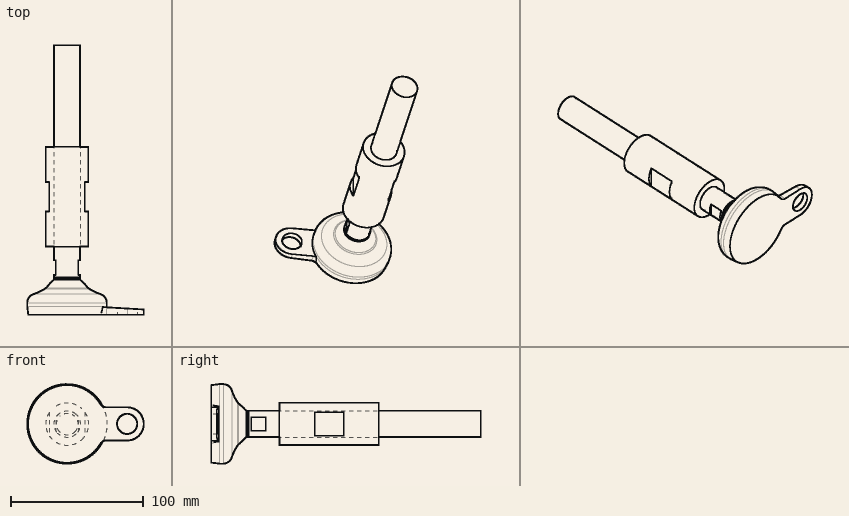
import cadquery as cq
import math

total_length = 203.0

rod_radius = 10.0
rod_start = 28.2
neck_radius = 8.1
rod_flat_offset = 8.5
rod_flat_start = 30.0
rod_flat_length = 11.0

sleeve_radius = 16.0
sleeve_start = 51.4
sleeve_length = 75.0
sleeve_flat_offset = 13.4
sleeve_flat_length = 22.0

base_radius = 29.2
rim_radius = 30.0
rim_start = 6.3
rim_end = 9.0
shoulder_radius = 25.2
shoulder_height = 15.6
waist_radius = 16.6
waist_height = 19.7
dome_radius = 15.6
dome_start = 20.5
dome_middle = (12.8, 23.8)
collar_radius = 10.0
collar_start = 26.4
foot_height = 27.2

tab_half_width = 12.5
tab_reach = 57.9
tab_hole_radius = 7.5
tab_root_fillet = 5.0
tab_root_thickness = 5.7
tab_tip_thickness = 4.0


def cylinder_y(radius, start, length):
    """Cylinder on the Y axis from y = start."""
    return cq.Workplane(cq.Solid.makeCylinder(radius, length, cq.Vector(0, start, 0), cq.Vector(0, 1, 0)))


def cut_flats(body, radius, offset, start, length):
    """Cut a wrench flat into the +X and -X sides of a round body."""
    depth = radius - offset
    for side in (-1, 1):
        cutter = cq.Workplane().box(depth, length, 2 * radius)
        center_x = side * (offset + depth / 2)
        body = body.cut(cutter.translate((center_x, start + length / 2, 0)))
    return body


def make_rod():
    """Round rod with two wrench flats and a neck that stands on the foot."""
    shank = cylinder_y(rod_radius, rod_start, total_length - rod_start)
    shank = cut_flats(shank, rod_radius, rod_flat_offset, rod_flat_start, rod_flat_length)
    neck = cylinder_y(neck_radius, foot_height, rod_start - foot_height)
    return shank.union(neck)


def make_sleeve():
    """Tube around the rod with two wrench flats at mid-length."""
    tube = cylinder_y(sleeve_radius, sleeve_start, sleeve_length)
    flat_start = sleeve_start + (sleeve_length - sleeve_flat_length) / 2
    tube = cut_flats(tube, sleeve_radius, sleeve_flat_offset, flat_start, sleeve_flat_length)
    return tube.cut(cylinder_y(rod_radius, sleeve_start, sleeve_length))


def make_foot_disc():
    """Bell-shaped body of revolution."""
    return (
        cq.Workplane("XY")
        .lineTo(base_radius, 0)
        .lineTo(rim_radius, rim_start)
        .lineTo(rim_radius, rim_end)
        .tangentArcPoint((shoulder_radius, shoulder_height), relative=False)
        .tangentArcPoint((waist_radius, waist_height), relative=False)
        .lineTo(dome_radius, dome_start)
        .threePointArc(dome_middle, (collar_radius, collar_start))
        .lineTo(collar_radius, foot_height)
        .lineTo(0, foot_height)
        .close()
        .revolve(360, (0, 0, 0), (0, 1, 0))
    )


def make_tab():
    """Rounded tab blended into the disc, thinning towards its tip."""
    eye_x = tab_reach - tab_half_width

    fillet_z = tab_half_width + tab_root_fillet
    center_distance = base_radius + tab_root_fillet
    fillet_x = math.sqrt(center_distance**2 - fillet_z**2)
    touch_x = fillet_x * base_radius / center_distance
    touch_z = fillet_z * base_radius / center_distance
    middle_angle = (math.atan2(fillet_z, fillet_x) + math.pi / 2) / 2
    middle_x = fillet_x - tab_root_fillet * math.cos(middle_angle)
    middle_z = fillet_z - tab_root_fillet * math.sin(middle_angle)

    plate = (
        cq.Workplane("XZ")
        .lineTo(touch_x, -touch_z)
        .threePointArc((middle_x, -middle_z), (fillet_x, -tab_half_width))
        .lineTo(eye_x, -tab_half_width)
        .threePointArc((tab_reach, 0), (eye_x, tab_half_width))
        .lineTo(fillet_x, tab_half_width)
        .threePointArc((middle_x, middle_z), (touch_x, touch_z))
        .close()
        .extrude(-foot_height)
    )
    slope = (tab_root_thickness - tab_tip_thickness) / (tab_reach - rim_radius)
    wedge = (
        cq.Workplane("XY")
        .lineTo(tab_reach, 0)
        .lineTo(tab_reach, tab_tip_thickness)
        .lineTo(0, tab_tip_thickness + slope * tab_reach)
        .close()
        .extrude(base_radius, both=True)
    )
    hole = cylinder_y(tab_hole_radius, 0, foot_height).translate((eye_x, 0, 0))
    return plate.intersect(wedge).cut(hole)


def make_foot():
    """Foot disc and its bolt-down tab as one solid."""
    return make_foot_disc().union(make_tab())


rod = make_rod()
sleeve = make_sleeve()
foot = make_foot()
result = cq.Compound.makeCompound([rod.val(), sleeve.val(), foot.val()])